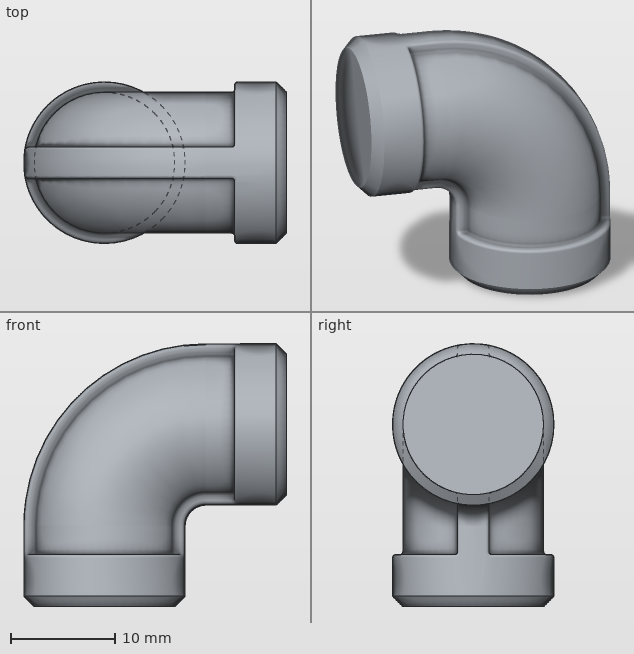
import cadquery as cq

overall_length = 25.25
collar_diameter = 15.5
pipe_diameter = 13.53
collar_length = 5.0
end_chamfer = 1.0
rib_width = 3.0
edge_round = 0.3
bend_angle = 90

collar_radius = collar_diameter / 2
pipe_radius = pipe_diameter / 2
leg_length = overall_length - collar_radius
straight_length = collar_radius
bend_radius = leg_length - straight_length
collar_start = leg_length - collar_length


def elbow(radius, leg_end):
    """Round elbow whose two legs stop at leg_end from the crossing of the axes."""
    straight = leg_end - bend_radius
    lower_leg = cq.Workplane("XY", origin=(0, 0, -leg_end)).circle(radius).extrude(straight)
    side_leg = cq.Workplane("YZ", origin=(bend_radius, 0, 0)).circle(radius).extrude(straight)
    bend = (
        cq.Workplane("XY", origin=(0, 0, -bend_radius))
        .circle(radius)
        .revolve(bend_angle, (bend_radius, 0, 0), (bend_radius, 1, 0))
    )
    return lower_leg.union(bend).union(side_leg)


def recesses():
    """Layer between the collars, from the pipe surface outwards, on both sides of the ribs."""
    layer = elbow(collar_radius, collar_start).cut(elbow(pipe_radius, collar_start))
    block_size = 2 * overall_length
    rib_slice = cq.Workplane("XY").box(block_size, rib_width, block_size)
    return layer.cut(rib_slice)


result = elbow(collar_radius, leg_length)
result = result.faces("<Z or >X").chamfer(end_chamfer)

result = result.cut(recesses())

recess_walls = result.faces("|Y or ((|X or |Z) exc (>X or <Z))")
result = recess_walls.edges().fillet(edge_round)